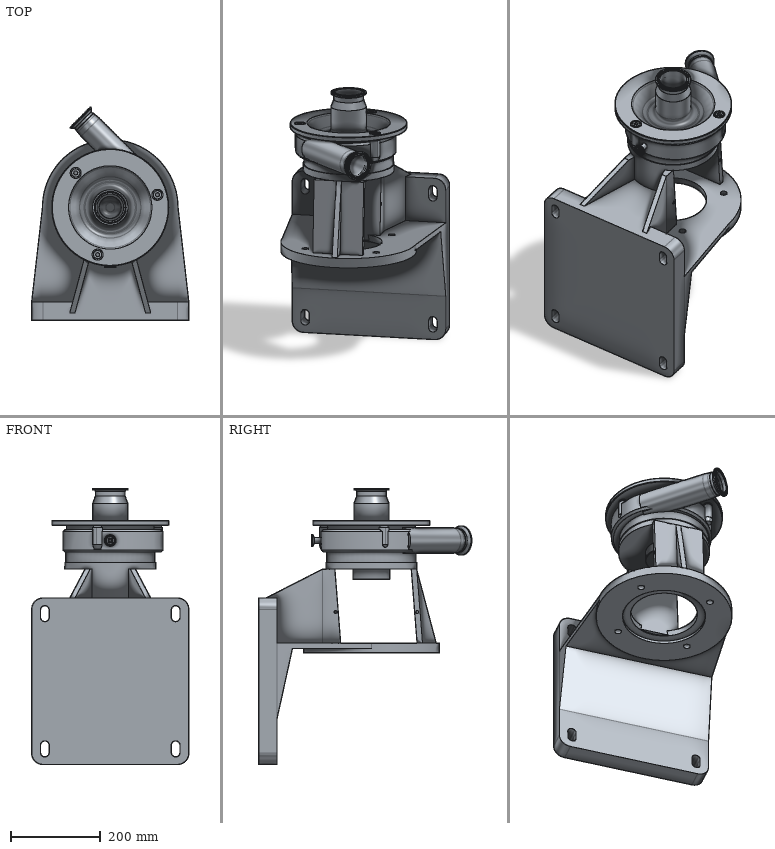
import cadquery as cq
import math


wall_width = 350.0
wall_height = 371.0
wall_back_y = -251.5
wall_thickness = 41.0
wall_front_y = wall_back_y + wall_thickness
wall_corner_radius = 26.0
slot_length = 35.0
slot_width = 19.0
slot_inset_x = 29.5
slot_inset_z = 35.0

shelf_top = 270.5
shelf_thickness = 12.0
shelf_bottom = shelf_top - shelf_thickness
shelf_radius = 151.0
pad_bottom = 249.0
shelf_bore_radius = 74.5
spigot_recess_radius = 92.0
spigot_recess_depth = 7.0
shelf_hole_radius = 7.5
shelf_hole_circle_radius = 114.0
wedge_front_y = -176.0
wedge_foot_z = 101.5

mount_bottom = 435.0
leg_half_width = 56.5
leg_lean = 13.0
front_leg_inner_y = -81.0
front_leg_outer_y = -109.5
back_leg_inner_y = 88.5
back_leg_thickness = 12.0
back_rib_foot_y = 144.5
rib_thickness = 11.5
rib_angle = 15.0
rib_end_y = -235.0
guard_hole_radius = 3.0
guard_hole_depth = 12.0
guard_hole_z = 340.0
front_guard_hole_y = -80.0
back_guard_hole_y = 102.0

mount_radius = 101.5
mount_top = 450.5
neck_radius = 99.5
casing_bottom = 473.0
casing_top = 523.5
casing_radius = 112.0
casing_offset_x = 6.0
casing_chamfer = 5.0
cover_neck_radius = 98.0
cover_bottom = 533.0
cover_top = 544.0
cover_radius = 130.0
cover_chamfer = 1.0
stub_bottom = 412.0
stub_radius = 41.0
stub_chamfer = 1.0

dish_rim_radius = 93.0
dish_rim_chamfer = 3.0
dish_cone_foot_radius = 68.0
dish_cone_foot_z = 521.0
dish_floor_z = 517.5
dish_floor_outer_radius = 58.5
dish_floor_inner_radius = 56.0
dish_fillet_top = 531.5

inlet_top = 614.5
inlet_radius = 39.5
inlet_neck_radius = 33.0
inlet_lip = 3.0
inlet_taper = 3.0
inlet_taper_radius = 34.5
inlet_groove_radius = 34.5
inlet_neck_bottom = 598.0
inlet_cone_bottom = 581.5
inlet_bore_radius = 30.0
inlet_floor_z = 504.0
eye_radius = 24.5
eye_floor_radius = 10.0
eye_depth = eye_radius - eye_floor_radius

port_z = 499.0
outlet_offset = 94.5
outlet_length = 189.0
outlet_angle = 45.0
outlet_radius = 29.0
outlet_bore_radius = 24.0
outlet_flange_radius = 32.5
outlet_lip = 3.0
outlet_groove_radius = 28.0
outlet_neck_radius = 26.5
outlet_neck_start = 8.5
outlet_shoulder_radius = 27.5
outlet_shoulder = 15.0
outlet_cone_start = 19.5
outlet_cone_end = 31.5

flush_end_y = -133.5
flush_root_y = -92.0
flush_radius = 7.0
flush_flange_radius = 13.0
flush_lip = 3.0
flush_taper = 3.0
flush_groove_radius = 10.0
flush_mouth_radius = 5.5
flush_mouth_depth = 3.0
flush_bore_radius = 3.0
flush_bore_depth = 31.0

groove_width = 2.5
groove_depth = 1.0

screw_count = 3
screw_circle_radius = 109.0
screw_first_angle = 15.0
screw_recess_radius = 12.0
screw_head_radius = 9.0
screw_recess_depth = 3.0
socket_width = 10.0
socket_depth = 5.0
post_radius = 11.0
post_neck_radius = 9.0
post_neck_bottom = 528.5
post_bottom = 480.5
post_taper_top = 490.0
post_tip_radius = 8.0


def cylinder(radius, bottom, top, x=0.0):
    return cq.Workplane("XY").workplane(offset=bottom).center(x, 0).circle(radius).extrude(top - bottom)


def gasket_groove(radius, face):
    """Ring groove sunk into a port face lying at height `face` on the Z axis."""
    bottom = face - groove_depth
    ring = cylinder(radius + groove_width / 2, bottom, face)
    return ring.cut(cylinder(radius - groove_width / 2, bottom, face))


def slab_from_side(points, half_width):
    """Prism of a (Y, Z) outline, centred on X = 0."""
    return cq.Workplane("YZ").polyline(points).close().extrude(half_width, both=True)


def mirrored(body):
    """The body together with its mirror image across X = 0."""
    return body.union(body.mirror("YZ"))


def shelf_outline(bottom, height):
    return (
        cq.Workplane("XY")
        .workplane(offset=bottom)
        .moveTo(shelf_radius, 0)
        .threePointArc((0, shelf_radius), (-shelf_radius, 0))
        .lineTo(-wall_width / 2, wall_front_y)
        .lineTo(wall_width / 2, wall_front_y)
        .close()
        .extrude(height)
    )


def make_wall():
    wall = (
        cq.Workplane("XY")
        .box(wall_width, wall_thickness, wall_height, centered=(True, False, False))
        .translate((0, wall_back_y, 0))
        .edges("|Y")
        .fillet(wall_corner_radius)
    )
    slot_x = wall_width / 2 - slot_inset_x
    slot_places = [(x, z) for x in (-slot_x, slot_x) for z in (slot_inset_z, wall_height - slot_inset_z)]
    slots = (
        cq.Workplane("XZ", origin=(0, wall_front_y, 0))
        .pushPoints(slot_places)
        .slot2D(slot_length, slot_width, 90)
        .extrude(wall_thickness)
    )
    return wall.cut(slots)


def make_shelf():
    shelf = shelf_outline(shelf_bottom, shelf_thickness)
    shelf = shelf.union(cylinder(shelf_radius, pad_bottom, shelf_bottom))
    shelf = shelf.cut(cylinder(shelf_bore_radius, pad_bottom, shelf_top))
    shelf = shelf.cut(cylinder(spigot_recess_radius, pad_bottom, pad_bottom + spigot_recess_depth))
    holes = (
        cq.Workplane("XY")
        .workplane(offset=pad_bottom)
        .polarArray(shelf_hole_circle_radius, 45, 360, 4)
        .circle(shelf_hole_radius)
        .extrude(shelf_top - pad_bottom)
    )
    return shelf.cut(holes)


def make_lower_wedge():
    """Wedge below the shelf that follows its flared side edges."""
    wedge = slab_from_side(
        [(wedge_front_y, shelf_bottom), (wall_front_y, shelf_bottom), (wall_front_y, wedge_foot_z)],
        wall_width / 2,
    )
    return wedge.intersect(shelf_outline(wedge_foot_z, shelf_bottom - wedge_foot_z))


def make_front_leg():
    """Leg with a round outer face, flanked by ribs that splay out to the wall.

    The space between the ribs is filled level with the wall top.
    """
    splay = math.tan(math.radians(rib_angle))
    rib_end_x = leg_half_width + (front_leg_outer_y - rib_end_y) * splay
    inner_start_y = -mount_radius + rib_thickness
    inner_start_x = rib_end_x - rib_thickness - (inner_start_y - rib_end_y) * splay
    height = mount_bottom - shelf_bottom
    rib = (
        cq.Workplane("XY")
        .workplane(offset=shelf_bottom)
        .polyline([
            (leg_half_width, 0),
            (leg_half_width, front_leg_outer_y),
            (rib_end_x, rib_end_y),
            (rib_end_x - rib_thickness, rib_end_y),
            (inner_start_x, inner_start_y),
            (inner_start_x, 0),
        ])
        .close()
        .extrude(height)
    )
    column = cylinder(mount_radius, shelf_bottom, mount_bottom).intersect(
        cq.Workplane("XY").box(2 * leg_half_width, 2 * mount_radius, 2 * mount_bottom)
    )
    infill = (
        cq.Workplane("XY")
        .workplane(offset=shelf_bottom)
        .polyline([
            (inner_start_x, inner_start_y),
            (rib_end_x - rib_thickness, rib_end_y),
            (-(rib_end_x - rib_thickness), rib_end_y),
            (-inner_start_x, inner_start_y),
        ])
        .close()
        .extrude(wall_height - shelf_bottom)
    )
    body = column.union(mirrored(rib)).union(infill)
    lean_per_height = leg_lean / (mount_bottom - shelf_top)
    side_profile = slab_from_side(
        [
            (front_leg_inner_y, mount_bottom),
            (front_leg_outer_y, mount_bottom),
            (rib_end_y, wall_height),
            (rib_end_y, shelf_bottom),
            (front_leg_inner_y + lean_per_height * height, shelf_bottom),
        ],
        rib_end_x,
    )
    return body.intersect(side_profile)


def make_back_leg():
    inner_foot_y = back_leg_inner_y + leg_lean
    outer_y = back_leg_inner_y + back_leg_thickness
    outer_foot_y = inner_foot_y + back_leg_thickness
    leg = slab_from_side(
        [
            (back_leg_inner_y, mount_bottom),
            (outer_y, mount_bottom),
            (outer_foot_y, shelf_top),
            (inner_foot_y, shelf_top),
        ],
        leg_half_width,
    )
    rib = slab_from_side(
        [(outer_y, mount_bottom), (back_rib_foot_y, shelf_top), (inner_foot_y, shelf_top)],
        rib_thickness / 2,
    )
    return leg.union(rib)


def make_guard_holes():
    """Small blind holes in both side faces of each leg."""
    holes = (
        cq.Workplane("YZ", origin=(leg_half_width - guard_hole_depth, 0, 0))
        .pushPoints([(front_guard_hole_y, guard_hole_z), (back_guard_hole_y, guard_hole_z)])
        .circle(guard_hole_radius)
        .extrude(guard_hole_depth)
    )
    return mirrored(holes)


def make_pump_body():
    stub = cylinder(stub_radius, stub_bottom, mount_bottom).faces("<Z").chamfer(stub_chamfer)
    casing = cylinder(casing_radius, casing_bottom, casing_top, casing_offset_x).faces("<Z or >Z")
    casing = casing.chamfer(casing_chamfer)
    cover = cylinder(cover_radius, cover_bottom, cover_top).faces("<Z or >Z").chamfer(cover_chamfer)
    return (
        stub.union(cylinder(mount_radius, mount_bottom, mount_top))
        .union(cylinder(neck_radius, mount_top, casing_bottom))
        .union(casing)
        .union(cylinder(cover_neck_radius, casing_top, cover_bottom))
        .union(cover)
    )


def make_dish():
    """Ring-shaped hollow in the cover around the inlet pipe."""
    cone_top_radius = dish_rim_radius - dish_rim_chamfer
    inner_fillet_mid = (
        dish_floor_inner_radius - (dish_floor_inner_radius - inlet_radius) * math.sin(math.radians(45)),
        dish_fillet_top - (dish_fillet_top - dish_floor_z) * math.sin(math.radians(45)),
    )
    return (
        cq.Workplane("XZ")
        .moveTo(inlet_radius, cover_top)
        .lineTo(dish_rim_radius, cover_top)
        .lineTo(cone_top_radius, cover_top - dish_rim_chamfer)
        .lineTo(dish_cone_foot_radius, dish_cone_foot_z)
        .tangentArcPoint((dish_floor_outer_radius, dish_floor_z), relative=False)
        .lineTo(dish_floor_inner_radius, dish_floor_z)
        .threePointArc(inner_fillet_mid, (inlet_radius, dish_fillet_top))
        .close()
        .revolve(360, (0, 0, 0), (0, 1, 0))
    )


def make_inlet():
    lip_bottom = inlet_top - inlet_lip
    pipe = (
        cq.Workplane("XZ")
        .polyline([
            (0, inlet_top),
            (inlet_radius, inlet_top),
            (inlet_radius, lip_bottom),
            (inlet_taper_radius, lip_bottom),
            (inlet_neck_radius, lip_bottom - inlet_taper),
            (inlet_neck_radius, inlet_neck_bottom),
            (inlet_radius, inlet_cone_bottom),
            (inlet_radius, dish_floor_z),
            (0, dish_floor_z),
        ])
        .close()
        .revolve(360, (0, 0, 0), (0, 1, 0))
    )
    return pipe.cut(gasket_groove(inlet_groove_radius, inlet_top))


def make_inlet_bore():
    """Straight bore ending in a rounded impeller eye."""
    eye_mid_drop = eye_depth * math.sin(math.radians(45))
    return (
        cq.Workplane("XZ")
        .moveTo(0, inlet_top)
        .lineTo(inlet_bore_radius, inlet_top)
        .lineTo(inlet_bore_radius, inlet_floor_z)
        .lineTo(eye_radius, inlet_floor_z)
        .threePointArc(
            (eye_floor_radius + eye_mid_drop, inlet_floor_z - eye_mid_drop),
            (eye_floor_radius, inlet_floor_z - eye_depth),
        )
        .lineTo(0, inlet_floor_z - eye_depth)
        .close()
        .revolve(360, (0, 0, 0), (0, 1, 0))
    )


def place_outlet(body):
    """Move a body built along +Y at the outlet offset in X to the turned outlet axis."""
    return body.translate((outlet_offset, 0, port_z)).rotate((0, 0, 0), (0, 0, 1), outlet_angle)


def make_outlet():
    pipe = (
        cq.Workplane("XY")
        .polyline([
            (0, 0),
            (outlet_radius, 0),
            (outlet_radius, outlet_length - outlet_cone_end),
            (outlet_shoulder_radius, outlet_length - outlet_cone_start),
            (outlet_shoulder_radius, outlet_length - outlet_shoulder),
            (outlet_neck_radius, outlet_length - outlet_shoulder),
            (outlet_neck_radius, outlet_length - outlet_neck_start),
            (outlet_flange_radius, outlet_length - outlet_lip),
            (outlet_flange_radius, outlet_length),
            (0, outlet_length),
        ])
        .close()
        .revolve(360, (0, 0, 0), (0, 1, 0))
    )
    groove = gasket_groove(outlet_groove_radius, outlet_length).rotate((0, 0, 0), (1, 0, 0), -90)
    return place_outlet(pipe.cut(groove))


def make_outlet_bore():
    bore = cq.Workplane("XZ").circle(outlet_bore_radius).extrude(-outlet_length)
    return place_outlet(bore)


def make_flush_port():
    port = (
        cq.Workplane("XY")
        .polyline([
            (0, flush_root_y),
            (flush_radius, flush_root_y),
            (flush_radius, flush_end_y + flush_lip + flush_taper),
            (flush_flange_radius, flush_end_y + flush_lip),
            (flush_flange_radius, flush_end_y),
            (0, flush_end_y),
        ])
        .close()
        .revolve(360, (0, 0, 0), (0, 1, 0))
    )
    face = -flush_end_y
    recesses = (
        cylinder(flush_bore_radius, face - flush_bore_depth, face)
        .union(cylinder(flush_mouth_radius, face - flush_mouth_depth, face))
        .union(gasket_groove(flush_groove_radius, face))
        .rotate((0, 0, 0), (1, 0, 0), 90)
    )
    return port.cut(recesses).translate((0, 0, port_z))


def at_screws(body):
    """Copies of a body, built on the Z axis, at every cover screw."""
    copies = cq.Workplane("XY")
    for i in range(screw_count):
        angle = screw_first_angle + i * 360 / screw_count
        copies = copies.union(body.translate((screw_circle_radius, 0, 0)).rotate((0, 0, 0), (0, 0, 1), angle))
    return copies


def make_screw_posts():
    post = (
        cq.Workplane("XZ")
        .polyline([
            (0, cover_bottom),
            (post_neck_radius, cover_bottom),
            (post_neck_radius, post_neck_bottom),
            (post_radius, post_neck_bottom),
            (post_radius, post_taper_top),
            (post_tip_radius, post_bottom),
            (0, post_bottom),
        ])
        .close()
        .revolve(360, (0, 0, 0), (0, 1, 0))
    )
    return at_screws(post)


def make_screw_recesses():
    """Ring gaps around flush screw heads, and their hexagon sockets."""
    gap = cylinder(screw_recess_radius, cover_top - screw_recess_depth, cover_top)
    gap = gap.cut(cylinder(screw_head_radius, cover_top - screw_recess_depth, cover_top))
    socket = (
        cq.Workplane("XY")
        .workplane(offset=cover_top - socket_depth)
        .polygon(6, socket_width)
        .extrude(socket_depth)
    )
    return at_screws(gap.union(socket))


bracket = (
    make_wall()
    .union(make_shelf())
    .union(make_lower_wedge())
    .union(make_front_leg())
    .union(make_back_leg())
    .cut(make_guard_holes())
)
pump = (
    make_pump_body()
    .cut(make_dish())
    .union(make_inlet())
    .union(make_outlet())
    .union(make_flush_port())
    .union(make_screw_posts())
    .cut(make_inlet_bore())
    .cut(make_outlet_bore())
    .cut(make_screw_recesses())
)
result = bracket.union(pump)